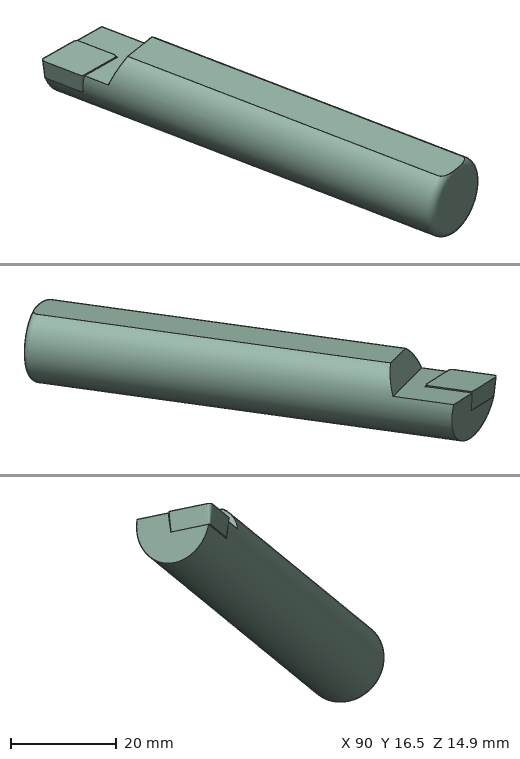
import cadquery as cq
import math

total_length = 90.0
shank_radius = 8.0
flat_height = 6.9
end_round = 1.6

step_height = 1.8
notch_length = 15.0
notch_wall_angle = 20.0

insert_top = 2.1
insert_thickness = 4.05
insert_width = 9.45
insert_length = 9.6
nose_radius = 0.7
nose_y = -8.5
lead_angle = 10.0
clearance_angle = 6.0

lead_slope = math.tan(math.radians(lead_angle))
corner_x = nose_radius * (1 - lead_slope - 1 / math.cos(math.radians(lead_angle)))


def front_x(y):
    """X of the slanted front edge at the height of the insert top."""
    return corner_x + (y - nose_y) * lead_slope


def make_rhombus():
    back_y = nose_y + insert_width
    return cq.Sketch().polygon([
        (front_x(nose_y), nose_y),
        (front_x(nose_y) + insert_length, nose_y),
        (front_x(back_y) + insert_length, back_y),
        (front_x(back_y), back_y),
        (front_x(nose_y), nose_y),
    ])


def make_tapered_block(outline):
    """Block below the insert top that narrows downwards by the clearance angle."""
    return (
        cq.Workplane("XY", origin=(0, 0, insert_top))
        .placeSketch(outline)
        .extrude(-insert_thickness, taper=clearance_angle)
    )


def make_insert():
    return make_tapered_block(make_rhombus().vertices().fillet(nose_radius))


def make_round_bar():
    bar = cq.Workplane("YZ").circle(shank_radius).extrude(total_length)
    return bar.faces(">X").edges().fillet(end_round)


def make_side_envelope():
    """Side outline with the flat and the notch, as wide as the shank."""
    wall_run = (flat_height - step_height) * math.tan(math.radians(notch_wall_angle))
    return (
        cq.Workplane("XZ")
        .polyline([
            (0, -shank_radius),
            (total_length, -shank_radius),
            (total_length, flat_height),
            (notch_length + wall_run, flat_height),
            (notch_length, step_height),
            (0, step_height),
        ])
        .close()
        .extrude(shank_radius, both=True)
    )


def make_front_envelope():
    """Everything behind the front face, which slants in Y and recedes downwards."""
    left_y = -shank_radius
    right_y = shank_radius
    depth = insert_top + shank_radius
    drop_run = depth * math.tan(math.radians(clearance_angle)) / math.cos(math.radians(lead_angle))

    def section(shift):
        return [
            (front_x(left_y) + shift, left_y),
            (total_length, left_y),
            (total_length, right_y),
            (front_x(right_y) + shift, right_y),
        ]

    lower = (
        cq.Workplane("XY", origin=(0, 0, -shank_radius))
        .polyline(section(drop_run))
        .close()
        .workplane(offset=depth)
        .polyline(section(0))
        .close()
        .loft(ruled=True)
    )
    upper = (
        cq.Workplane("XY", origin=(0, 0, insert_top))
        .polyline(section(0))
        .close()
        .extrude(flat_height - insert_top)
    )
    return lower.union(upper)


def make_shank():
    """Shank with a sharp-cornered seat for the rounded insert."""
    shank = make_round_bar().intersect(make_side_envelope())
    shank = shank.intersect(make_front_envelope())
    return shank.cut(make_tapered_block(make_rhombus()))


insert = make_insert()
shank = make_shank()
result = cq.Compound.makeCompound([*shank.solids().vals(), insert.val()])